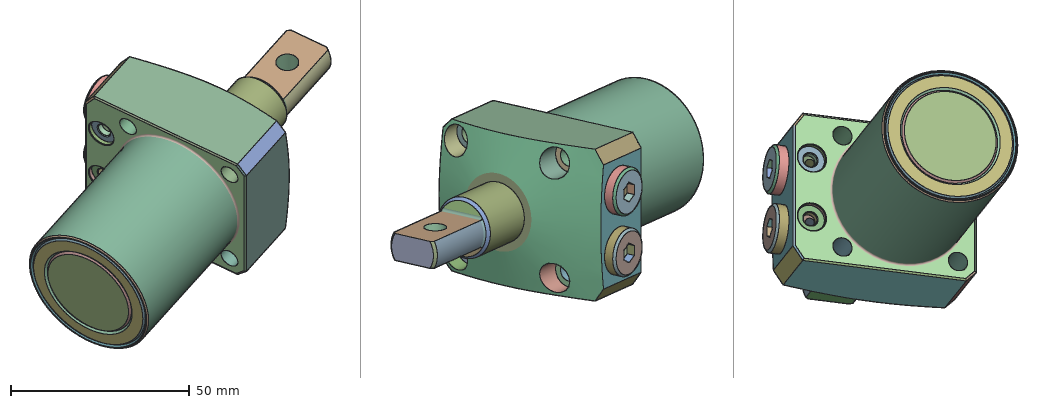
import cadquery as cq
import math


flange_left = -31.5
flange_right = 22.5
flange_height = 45.0
flange_thickness = 25.2
right_corner_cut = 3.0
left_corner_cut_x = 2.9
left_corner_cut_z = 4.1
face_chamfer_width = 0.6
face_chamfer_depth = 0.3
crown_flat_radius = 11.5
crown_angle = 15.0
mount_hole_diameter = 5.6
mount_hole_offset = 17.0
screw_head_diameter = 9.0
screw_head_seat_y = 15.0

barrel_radius = 20.0
barrel_length = 46.4
barrel_edge_chamfer = 0.4
barrel_root_fillet = 0.5
cap_radius = 18.8
cap_thickness = 8.0
joint_chamfer = 0.5
cap_groove_radius = 14.1
cap_groove_half_width = 0.6

port_x = -26.0
port_spacing = 18.0
seal_recess_diameter = 8.2
seal_recess_depth = 1.4
port_drill_diameter = 4.0
port_drill_depth = 2.0
port_rim_chamfer = 0.25
seal_recess_lip = 0.2
drill_point_angle = 118.0
channel_diameter = 2.5
channel_offset = 0.4
channel_tilt = 20.0
channel_length = 10.0

plug_diameter = 14.0
plug_thickness = 3.5
plug_chamfer = 0.7
plug_y = 11.0
hex_across_flats = 5.0
hex_depth = 2.5

rod_radius = 9.0
rod_projection = 41.4
shoulder_height = 17.4
shoulder_chamfer_width = 0.8
shoulder_chamfer_height = 1.0
blade_radius = 8.0
blade_thickness = 8.0
blade_root_fillet = 0.8
tip_chamfer = 0.8
cross_hole_diameter = 6.4
cross_hole_from_tip = 11.0

port_heights = (-port_spacing / 2, port_spacing / 2)


def revolve_about_y(points):
    """Spin a closed (radius, y) outline about the Y axis."""
    return cq.Workplane("XY").polyline(points).close().revolve(360, (0, 0), (0, 1))


def cylinder_along_y(x, z, diameter, y_start, y_end):
    """Round bar parallel to Y between two Y positions."""
    return (
        cq.Workplane("XZ", origin=(x, y_start, z))
        .circle(diameter / 2)
        .extrude(y_start - y_end)
    )


def make_flange():
    half = flange_height / 2
    outline = [
        (flange_left + left_corner_cut_x, -half),
        (flange_right - right_corner_cut, -half),
        (flange_right, -half + right_corner_cut),
        (flange_right, half - right_corner_cut),
        (flange_right - right_corner_cut, half),
        (flange_left + left_corner_cut_x, half),
        (flange_left, half - left_corner_cut_z),
        (flange_left, -half + left_corner_cut_z),
    ]
    block = cq.Workplane("XZ").polyline(outline).close().extrude(-flange_thickness)
    block = block.faces("<Y").edges().chamfer(face_chamfer_depth, face_chamfer_width)

    reach = math.hypot(flange_left, half)
    drop = (reach - crown_flat_radius) * math.tan(math.radians(crown_angle))
    crown = revolve_about_y([
        (0, 0),
        (reach, 0),
        (reach, flange_thickness - drop),
        (crown_flat_radius, flange_thickness),
        (0, flange_thickness),
    ])
    return block.intersect(crown)


def make_barrel():
    overlap = flange_thickness / 2
    edge = barrel_radius - barrel_edge_chamfer
    fillet_mid = barrel_root_fillet * (1 - math.sqrt(0.5))
    root_radius = barrel_radius + barrel_root_fillet
    return (
        cq.Workplane("XY")
        .moveTo(0, -barrel_length)
        .lineTo(edge, -barrel_length)
        .lineTo(barrel_radius, -barrel_length + barrel_edge_chamfer)
        .lineTo(barrel_radius, -barrel_root_fillet)
        .threePointArc((barrel_radius + fillet_mid, -fillet_mid), (root_radius, 0))
        .lineTo(root_radius, overlap)
        .lineTo(0, overlap)
        .close()
        .revolve(360, (0, 0), (0, 1))
    )


def make_cap_seat():
    """Bore for the end cap, with a chamfered mouth."""
    mouth = cap_radius + joint_chamfer
    inner_end = -barrel_length + cap_thickness
    return revolve_about_y([
        (0, -barrel_length),
        (mouth, -barrel_length),
        (cap_radius, -barrel_length + joint_chamfer),
        (cap_radius, inner_end),
        (0, inner_end),
    ])


def make_port(z):
    """Seal recess, drilled hole with a conical end, and a channel slanting toward the barrel axis."""
    recess_radius = seal_recess_diameter / 2
    drill_radius = port_drill_diameter / 2
    drill_end = seal_recess_depth + port_drill_depth
    point_length = drill_radius / math.tan(math.radians(drill_point_angle / 2))
    stepped_hole = revolve_about_y([
        (0, 0),
        (recess_radius + seal_recess_lip, 0),
        (recess_radius, seal_recess_lip),
        (recess_radius, seal_recess_depth),
        (drill_radius + port_rim_chamfer, seal_recess_depth),
        (drill_radius, seal_recess_depth + port_rim_chamfer),
        (drill_radius, drill_end),
        (0, drill_end + point_length),
    ]).translate((port_x, 0, z))
    channel = (
        cylinder_along_y(0, 0, channel_diameter, 0, channel_length)
        .rotate((0, 0, 0), (0, 0, 1), -channel_tilt)
        .translate((port_x + channel_offset, drill_end, z))
    )
    return stepped_hole.union(channel)


def make_housing():
    body = make_flange().union(make_barrel()).cut(make_cap_seat())
    for x in (-mount_hole_offset, mount_hole_offset):
        for z in (-mount_hole_offset, mount_hole_offset):
            body = body.cut(cylinder_along_y(x, z, mount_hole_diameter, 0, flange_thickness))
            body = body.cut(cylinder_along_y(x, z, screw_head_diameter, screw_head_seat_y, flange_thickness))
    for z in port_heights:
        body = body.cut(make_port(z))
    rod_bore = cylinder_along_y(0, 0, 2 * rod_radius, 0, flange_thickness)
    return body.cut(rod_bore)


def make_end_cap():
    outer_face = -barrel_length
    inner_face = outer_face + cap_thickness
    return revolve_about_y([
        (0, outer_face),
        (cap_groove_radius - cap_groove_half_width, outer_face),
        (cap_groove_radius, outer_face + cap_groove_half_width),
        (cap_groove_radius + cap_groove_half_width, outer_face),
        (cap_radius - joint_chamfer, outer_face),
        (cap_radius, outer_face + joint_chamfer),
        (cap_radius, inner_face),
        (0, inner_face),
    ])


def make_rod():
    shoulder_y = flange_thickness + shoulder_height
    tip_y = flange_thickness + rod_projection
    rod = revolve_about_y([
        (0, 0),
        (rod_radius, 0),
        (rod_radius, shoulder_y - shoulder_chamfer_height),
        (rod_radius - shoulder_chamfer_width, shoulder_y),
        (blade_radius, shoulder_y + blade_root_fillet),
        (blade_radius, tip_y - tip_chamfer),
        (blade_radius - tip_chamfer, tip_y),
        (0, tip_y),
    ])

    flat_z = blade_thickness / 2
    mid = blade_root_fillet * (1 - math.sqrt(0.5))
    for side in (-1, 1):
        flat_cut = (
            cq.Workplane("YZ", origin=(-rod_radius, 0, 0))
            .moveTo(shoulder_y, side * rod_radius)
            .lineTo(shoulder_y, side * (flat_z + blade_root_fillet))
            .threePointArc(
                (shoulder_y + mid, side * (flat_z + mid)),
                (shoulder_y + blade_root_fillet, side * flat_z),
            )
            .lineTo(tip_y, side * flat_z)
            .lineTo(tip_y, side * rod_radius)
            .close()
            .extrude(2 * rod_radius)
        )
        rod = rod.cut(flat_cut)

    cross_hole = (
        cq.Workplane("XY", origin=(0, tip_y - cross_hole_from_tip, -rod_radius))
        .circle(cross_hole_diameter / 2)
        .extrude(2 * rod_radius)
    )
    return rod.cut(cross_hole)


def make_plug(z):
    """Round plug against the side face of the flange, with a hexagon socket, one corner up."""
    hex_corner_diameter = hex_across_flats / math.cos(math.pi / 6)
    return (
        cq.Workplane("YZ", origin=(flange_left, plug_y, z))
        .circle(plug_diameter / 2)
        .extrude(-plug_thickness)
        .faces("<X")
        .edges()
        .chamfer(plug_chamfer)
        .faces("<X")
        .workplane()
        .transformed(rotate=(0, 0, 90))
        .polygon(6, hex_corner_diameter)
        .cutBlind(-hex_depth)
    )


housing = make_housing()
end_cap = make_end_cap()
rod = make_rod()
plugs = [make_plug(z) for z in port_heights]

result = cq.Compound.makeCompound([
    housing.val(),
    end_cap.val(),
    rod.val(),
    *[plug.val() for plug in plugs],
])